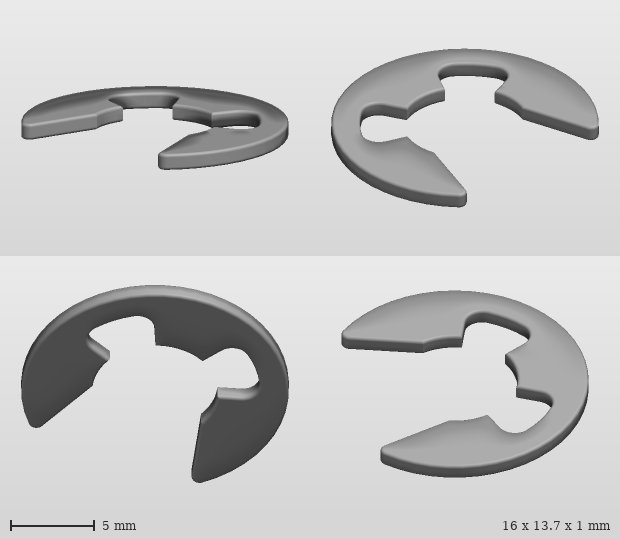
import cadquery as cq
import math

outer_radius = 8.0
bore_radius = 3.75
thickness = 1.0
edge_round = 0.2

mouth_start_angle = 18.0
mouth_flare_angle = 17.7
prong_tip_radius = 0.48

pocket_radius = 6.27
pocket_corner_radius = 1.02
selection_margin = 0.16
tooth_corner_angle = 65.6
tooth_wall_direction = 62.2
side_corner_angle = 19.1
side_wall_direction = 19.9


def polar(radius, angle):
    """Point at a radius and an angle in degrees about the ring centre."""
    return (radius * math.cos(math.radians(angle)), radius * math.sin(math.radians(angle)))


def reach_radius(start, direction, radius):
    """Point where a ray from start meets the circle of the given radius."""
    ux, uy = polar(1.0, direction)
    along = start[0] * ux + start[1] * uy
    distance = -along + math.sqrt(along**2 + radius**2 - start[0]**2 - start[1]**2)
    return (start[0] + distance * ux, start[1] + distance * uy)


def ring():
    return cq.Workplane("XY").circle(outer_radius).circle(bore_radius).extrude(thickness)


def mouth():
    """Trapezoid widening from the bore to beyond the ring."""
    corner_x, corner_y = polar(bore_radius, -mouth_start_angle)
    end_y = -outer_radius
    end_x = corner_x + (corner_y - end_y) * math.tan(math.radians(mouth_flare_angle))
    outline = [(-corner_x, corner_y), (corner_x, corner_y), (end_x, end_y), (-end_x, end_y)]
    return cq.Workplane("XY").polyline(outline).close().extrude(thickness)


def right_pocket():
    """Wedge from the bore out to a concentric arc, with rounded outer corners."""
    side_corner = polar(bore_radius, side_corner_angle)
    tooth_corner = polar(bore_radius, tooth_corner_angle)
    side_end = reach_radius(side_corner, side_wall_direction, pocket_radius)
    tooth_end = reach_radius(tooth_corner, tooth_wall_direction, pocket_radius)
    middle_angle = (side_corner_angle + tooth_corner_angle) / 2
    return (
        cq.Workplane("XY")
        .moveTo(0, 0)
        .lineTo(*side_corner)
        .lineTo(*side_end)
        .threePointArc(polar(pocket_radius, middle_angle), tooth_end)
        .lineTo(*tooth_corner)
        .close()
        .extrude(thickness)
        .edges(cq.selectors.BoxSelector(
            (side_end[0] + selection_margin, side_end[1] - selection_margin, 0),
            (tooth_end[0] - selection_margin, tooth_end[1] + selection_margin, thickness),
        ))
        .edges("|Z")
        .fillet(pocket_corner_radius)
    )


def round_prong_tips(body):
    """Round the two sharp vertical edges at the ends of the prongs."""
    return body.edges("|Z").edges("<Y").fillet(prong_tip_radius)


pocket = right_pocket()
clip = round_prong_tips(ring().cut(mouth()))
clip = clip.cut(pocket).cut(pocket.mirror("YZ"))

result = clip.faces("|Z").edges().fillet(edge_round)